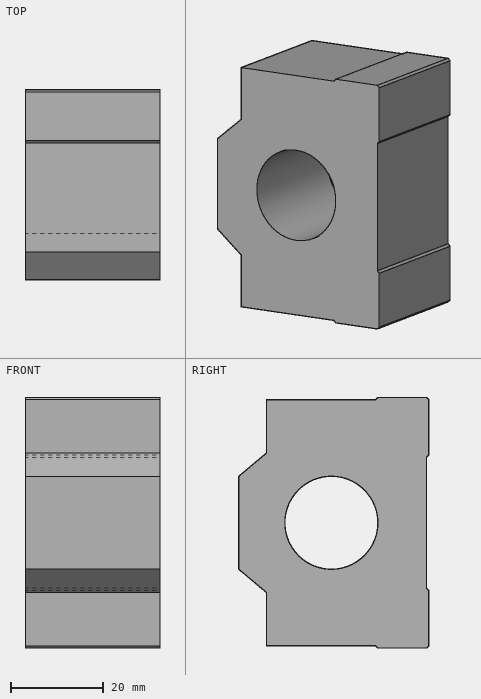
import cadquery as cq

width = 29.0
depth = 41.0
height = 54.0

relief = 0.5
end_pad_length = 11.0
rear_pad_height = 12.4

nose_length = 6.0
nose_base_height = 30.0
nose_tip_height = 20.0

bore_diameter = 20.0
bore_from_rear = 21.0

rear = bore_from_rear
tip = rear - depth
front = tip + nose_length
top = height / 2
pad_ramp_start = rear - end_pad_length
rear_pad_edge = top - rear_pad_height

upper_outline = [
    (rear - relief, rear_pad_edge - relief),
    (rear, rear_pad_edge),
    (rear, top - relief),
    (rear - relief, top),
    (pad_ramp_start, top),
    (pad_ramp_start - relief, top - relief),
    (front, top - relief),
    (front, nose_base_height / 2),
    (tip, nose_tip_height / 2),
]
lower_outline = [(y, -z) for y, z in reversed(upper_outline)]

block = (
    cq.Workplane("YZ")
    .polyline(upper_outline + lower_outline)
    .close()
    .extrude(width / 2, both=True)
)
bore = cq.Workplane("YZ").circle(bore_diameter / 2).extrude(width / 2, both=True)

result = block.cut(bore)